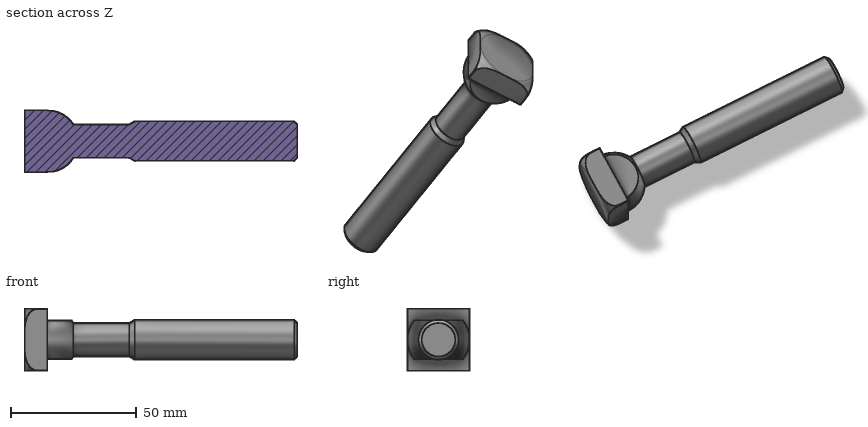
import cadquery as cq
import math

total_length = 109.0

head_side = 25.0
head_thickness = 9.0
head_edge_radius = 5.0
head_turned_radius = head_side / 2 + head_edge_radius

ball_radius = 12.4
neck_width = 15.5

shank_radius = 13.5 / 2
thread_radius = 16.0 / 2
thread_start = 41.9
shoulder_angle = 30.0
tip_chamfer = 1.3


def make_head():
    """Square block limited by a turned disc whose front edge is rounded."""
    block = cq.Workplane("YZ").rect(head_side, head_side).extrude(head_thickness)
    disc = cq.Workplane("YZ").circle(head_turned_radius).extrude(head_thickness)
    disc = disc.faces("<X").edges().fillet(head_edge_radius)
    return block.intersect(disc)


def make_neck():
    """Half ball on the back face of the head, cut flat above and below."""
    ball = cq.Workplane("XY").sphere(ball_radius)
    slab = cq.Workplane("XY").box(
        ball_radius, 2 * ball_radius, neck_width, centered=(False, True, True)
    )
    return ball.intersect(slab).translate((head_thickness, 0, 0))


def make_shaft():
    """Stepped round shaft with a conical shoulder and a chamfered tip."""
    shoulder_length = (thread_radius - shank_radius) / math.tan(math.radians(shoulder_angle))
    profile = (
        cq.Workplane("XY")
        .moveTo(head_thickness, 0)
        .lineTo(head_thickness, shank_radius)
        .lineTo(thread_start, shank_radius)
        .lineTo(thread_start + shoulder_length, thread_radius)
        .lineTo(total_length - tip_chamfer, thread_radius)
        .lineTo(total_length, thread_radius - tip_chamfer)
        .lineTo(total_length, 0)
        .close()
    )
    return profile.revolve(360, (0, 0, 0), (1, 0, 0))


result = make_head().union(make_neck()).union(make_shaft())